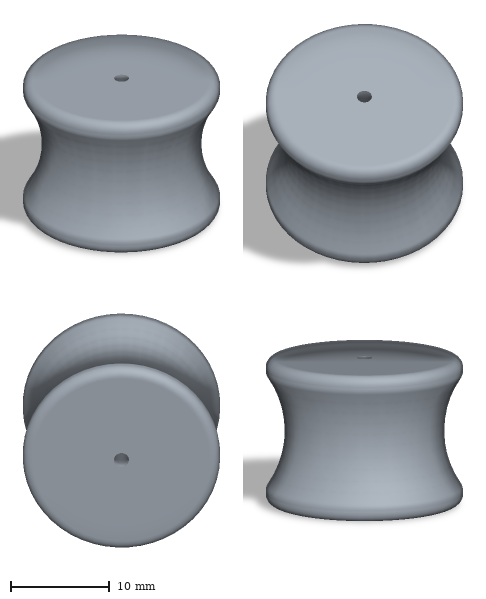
import cadquery as cq
import math

outer_radius = 9.98
height = 15.0
waist_radius = 8.05
groove_radius = 10.0
rim_round = 1.0
bore_diameter = 1.5

half_height = height / 2
groove_center_r = waist_radius + groove_radius
round_center_r = outer_radius - rim_round
upper_round_z = half_height - rim_round

center_gap = groove_center_r - round_center_r
center_distance = groove_radius + rim_round
inner_round_z = math.sqrt(center_distance**2 - center_gap**2)
blend_angle = math.asin(inner_round_z / center_distance)


def point_on_round(center_z, angle):
    """Point on a rim rounding, with the angle measured from the radial direction."""
    return (
        round_center_r + rim_round * math.cos(angle),
        center_z + rim_round * math.sin(angle),
    )


def mirrored(point):
    """Reflect a profile point across the mid-height plane."""
    return (point[0], -point[1])


rim_top = (round_center_r, half_height)
upper_round_mid = point_on_round(upper_round_z, math.pi / 4)
rim_upper = (outer_radius, upper_round_z)
rim_lower = (outer_radius, inner_round_z)
inner_round_mid = point_on_round(inner_round_z, -blend_angle / 2)
groove_edge = point_on_round(inner_round_z, -blend_angle)

profile = (
    cq.Workplane("XZ")
    .moveTo(0, half_height)
    .lineTo(*rim_top)
    .threePointArc(upper_round_mid, rim_upper)
    .lineTo(*rim_lower)
    .threePointArc(inner_round_mid, groove_edge)
    .threePointArc((waist_radius, 0), mirrored(groove_edge))
    .threePointArc(mirrored(inner_round_mid), mirrored(rim_lower))
    .lineTo(*mirrored(rim_upper))
    .threePointArc(mirrored(upper_round_mid), mirrored(rim_top))
    .lineTo(0, -half_height)
    .close()
)
spool = profile.revolve(360, (0, 0, 0), (0, 1, 0))

result = spool.faces(">Z").workplane(origin=(0, 0, 0)).hole(bore_diameter)